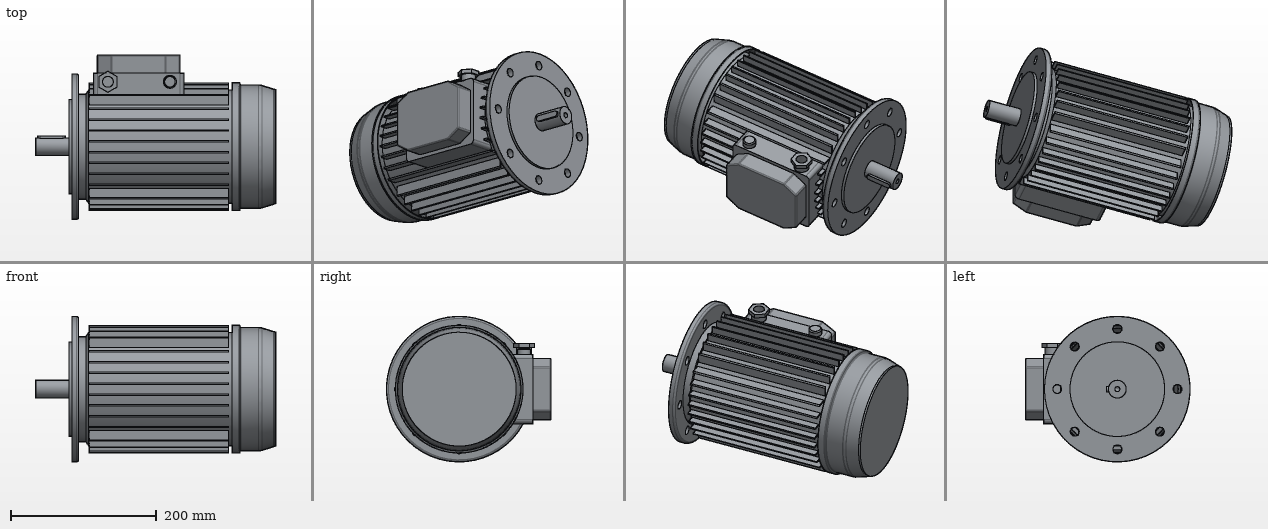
import cadquery as cq
import math


spigot_front = 46.0
flange_front = 49.8
flange_back = 59.0
stator_front = 69.0
fin_front = 73.5
fin_back = 265.0
cover_front = 270.0
rim_back = 280.8
taper_start = 308.5
motor_length = 330.0

shaft_radius = 12.2
spigot_radius = 65.0
flange_radius = 100.0
flange_edge_radius = 3.0
hub_radius = 72.3
bolt_count = 8
bolt_circle_radius = 82.5
bolt_hole_diameter = 12.0
key_start = 3.0
key_length = 38.0
key_width = 8.0
key_top = 15.0
tapped_hole_diameter = 7.0
tapped_hole_depth = 19.0
drill_tip_angle = 118.0

stator_radius = 78.0
stator_taper_length = 4.0
fin_tip_radius = 87.8
stator_back = cover_front
fin_thickness = 2.0
fin_pitch = 15.0
fins_per_side = 8

box_center_x = 141.5
base_length = 124.5
base_height = 95.0
base_top = 101.0
base_corner_radius = 5.5
lid_inset = 5.3
lid_top = 126.0
lid_corner_length = 19.8
lid_corner_height = 12.0
lid_corner_radius = 3.0
lid_edge_radius = 1.5

entry_y = 89.0
gland_x = 99.3
gland_neck_diameter = 20.5
gland_neck_height = 9.5
gland_hex_flats = 25.0
gland_hex_height = 5.5
gland_bore_diameter = 15.0
plug_x = 184.5
plug_diameter = 17.8
plug_height = 8.2
plug_edge_chamfer = 1.5

rim_radius = fin_tip_radius
rim_bend_radius = 1.0
cover_radius = 84.8
cover_end_radius = 78.2
cover_blend_radius = 16.0
cover_thickness = 1.15


def disc(start, end, radius):
    """A cylinder on the motor axis between two X stations."""
    return cq.Workplane("YZ", origin=(start, 0, 0)).circle(radius).extrude(end - start)


def make_key():
    """Round-ended key, reaching from the shaft axis to above the shaft surface."""
    key_center = key_start + key_length / 2
    return (
        cq.Workplane("XZ", origin=(key_center, 0, 0))
        .slot2D(key_length, key_width)
        .extrude(-key_top)
    )


def make_tapped_hole():
    """Drilled hole in the shaft tip with a conical bottom."""
    radius = tapped_hole_diameter / 2
    tip_length = radius / math.tan(math.radians(drill_tip_angle / 2))
    return (
        cq.Workplane("XY")
        .polyline([
            (0, 0),
            (0, radius),
            (tapped_hole_depth, radius),
            (tapped_hole_depth + tip_length, 0),
        ])
        .close()
        .revolve(360, (0, 0, 0), (1, 0, 0))
    )


def make_flange_end():
    """Shaft, key, spigot, bolted flange and hub as one solid."""
    flange = disc(flange_front, flange_back, flange_radius).faces(">X").edges().fillet(flange_edge_radius)
    bolt_holes = (
        cq.Workplane("YZ", origin=(flange_front, 0, 0))
        .polarArray(bolt_circle_radius, 0, 360, bolt_count)
        .circle(bolt_hole_diameter / 2)
        .extrude(flange_back - flange_front)
    )
    return (
        flange.cut(bolt_holes)
        .union(disc(spigot_front, stator_front, spigot_radius))
        .union(disc(flange_back, stator_front, hub_radius))
        .union(disc(0, spigot_front, shaft_radius))
        .union(make_key())
        .cut(make_tapped_hole())
    )


def make_fins():
    """Parallel fins on all four sides, trimmed to a common tip circle."""
    length = fin_back - fin_front
    offsets = [(i - (fins_per_side - 1) / 2) * fin_pitch for i in range(fins_per_side)]
    plates = cq.Workplane("YZ", origin=(fin_front, 0, 0))
    upright = plates.pushPoints([(offset, 0) for offset in offsets])
    upright = upright.rect(fin_thickness, 2 * fin_tip_radius).extrude(length)
    level = plates.pushPoints([(0, offset) for offset in offsets])
    level = level.rect(2 * fin_tip_radius, fin_thickness).extrude(length)
    return upright.union(level).intersect(disc(fin_front, fin_back, fin_tip_radius))


def make_box_base():
    """Rounded terminal box base, rising in +Y from the motor axis."""
    return (
        cq.Workplane("XZ", origin=(box_center_x, 0, 0))
        .rect(base_length, base_height)
        .extrude(-base_top)
        .edges("|Y")
        .fillet(base_corner_radius)
    )


def make_box_lid():
    """Eight-sided terminal box lid with softened edges."""
    half_length = base_length / 2 - lid_inset
    half_height = base_height / 2 - lid_inset
    flat_x = half_length - lid_corner_length
    flat_z = half_height - lid_corner_height
    return (
        cq.Workplane("XZ", origin=(box_center_x, base_top, 0))
        .polyline([
            (half_length, -flat_z),
            (half_length, flat_z),
            (flat_x, half_height),
            (-flat_x, half_height),
            (-half_length, flat_z),
            (-half_length, -flat_z),
            (-flat_x, -half_height),
            (flat_x, -half_height),
        ])
        .close()
        .extrude(base_top - lid_top)
        .edges("|Y")
        .fillet(lid_corner_radius)
        .faces(">Y")
        .edges()
        .fillet(lid_edge_radius)
    )


def make_gland():
    """Hexagonal cable gland on a round neck, bored down to the box."""
    hex_across_corners = gland_hex_flats / math.cos(math.pi / 6)
    bore_depth = gland_neck_height + gland_hex_height
    return (
        cq.Workplane("XY", origin=(gland_x, entry_y, base_height / 2))
        .circle(gland_neck_diameter / 2)
        .extrude(gland_neck_height)
        .faces(">Z")
        .workplane()
        .transformed(rotate=(0, 0, 90))
        .polygon(6, hex_across_corners)
        .extrude(gland_hex_height)
        .faces(">Z")
        .workplane()
        .hole(gland_bore_diameter, bore_depth)
    )


def make_plug():
    """Round blanking plug with a chamfered top edge."""
    return (
        cq.Workplane("XY", origin=(plug_x, entry_y, base_height / 2))
        .circle(plug_diameter / 2)
        .extrude(plug_height)
        .faces(">Z")
        .chamfer(plug_edge_chamfer)
    )


def make_stator():
    """Finned stator housing, tapered down to the flange hub, carrying the terminal box."""
    barrel = (
        cq.Workplane("XY")
        .polyline([
            (stator_front, 0),
            (stator_front, hub_radius),
            (stator_front + stator_taper_length, stator_radius),
            (stator_back, stator_radius),
            (stator_back, 0),
        ])
        .close()
        .revolve(360, (0, 0, 0), (1, 0, 0))
    )
    return (
        barrel.union(make_fins())
        .union(make_box_base())
        .union(make_box_lid())
        .union(make_gland())
        .union(make_plug())
    )


def circles_at(station):
    """Selects the circular edges lying in the plane at one X station."""
    reach = motor_length
    tolerance = 0.03
    return cq.selectors.BoxSelector(
        (station - tolerance, -reach, -reach),
        (station + tolerance, reach, reach),
        boundingbox=True,
    )


def make_cover_form(inset):
    """Solid form of the fan cover, with its outside moved inwards by the inset."""
    taper_angle = math.atan2(cover_radius - cover_end_radius, motor_length - taper_start)
    bend_x = taper_start - inset * math.tan(taper_angle / 2)
    end_x = motor_length - inset
    step_x = rim_back - inset
    inner_radius = cover_radius - inset
    end_radius = inner_radius - (end_x - bend_x) * math.tan(taper_angle)
    form = (
        cq.Workplane("XY")
        .polyline([
            (cover_front, 0),
            (cover_front, rim_radius - inset),
            (step_x, rim_radius - inset),
            (step_x, inner_radius),
            (bend_x, inner_radius),
            (end_x, end_radius),
            (end_x, 0),
        ])
        .close()
        .revolve(360, (0, 0, 0), (1, 0, 0))
    )
    blended = form.edges(circles_at(bend_x)).fillet(cover_blend_radius - inset)
    return blended.edges(circles_at(step_x)).fillet(rim_bend_radius)


def make_fan_cover():
    """Fan cover shell around a core that continues the stator barrel, with an air gap between them."""
    outer = make_cover_form(0)
    core = disc(cover_front, motor_length, stator_radius)
    air_gap = make_cover_form(cover_thickness).cut(core)
    return outer.cut(air_gap)


flange_end = make_flange_end()
stator = make_stator()
fan_cover = make_fan_cover()

result = cq.Compound.makeCompound([flange_end.val(), stator.val(), fan_cover.val()])